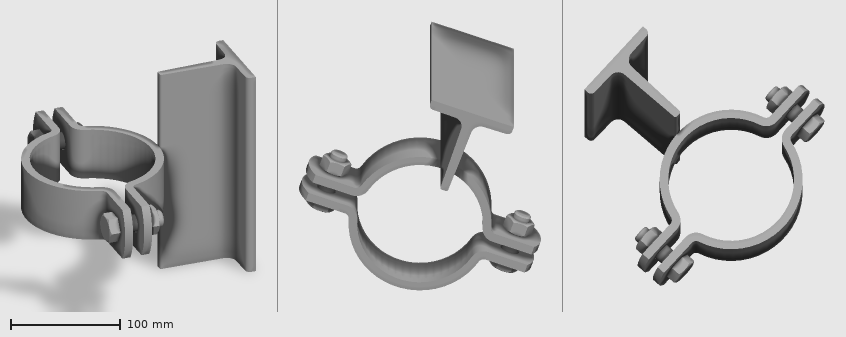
import cadquery as cq
import math


clamp_length = 226.0
band_width = 50.0
band_thickness = 8.0
pipe_radius = 57.6
flange_gap = 10.8
bend_radius = 5.2
flange_end_radius = 50.0
band_radius = pipe_radius + band_thickness
flange_inner_y = flange_gap / 2
flange_outer_y = flange_inner_y + band_thickness

tee_length = 200.0
tee_size = 80.0
tee_thickness = 9.0
tee_slope = 0.02
root_radius = 9.0
toe_radius = 4.5
web_end_radius = 2.0
weld_overlap = 0.2
tee_bottom_y = band_radius - weld_overlap
tee_top_y = tee_bottom_y + tee_size

bolt_x = 89.0
bolt_diameter = 16.0
bolt_tip_diameter = 13.8
bolt_tip_length = 1.4
bolt_overhang = 5.9
bolt_hole_diameter = 18.0
hex_across_flats = 24.0
head_height = 10.5
nut_height = 12.7
washer_face_diameter = 22.0
washer_face_height = 0.5
hex_chamfer_diameter = 23.3
hex_chamfer_angle = 30.0
hex_across_corners = hex_across_flats / math.cos(math.radians(30))


def polar(center, radius, angle):
    """Point on a circle; angle in radians."""
    return (center[0] + radius * math.cos(angle), center[1] + radius * math.sin(angle))


def quarter_band():
    """Quarter of the clamp on the +X, +Y side, with square flange end."""
    pipe_center = (0, 0)
    bend_y = flange_outer_y + bend_radius
    bend_x = math.sqrt((band_radius + bend_radius) ** 2 - bend_y ** 2)
    bend_center = (bend_x, bend_y)
    wide_bend_radius = bend_radius + band_thickness

    tangent_angle = math.atan2(bend_y, bend_x)
    arc_middle = (tangent_angle + math.pi / 2) / 2
    bend_start = tangent_angle + math.pi
    bend_end = 1.5 * math.pi
    bend_middle = (bend_start + bend_end) / 2

    return (
        cq.Workplane("XY", origin=(0, 0, -band_width / 2))
        .moveTo(0, band_radius)
        .threePointArc(
            polar(pipe_center, band_radius, arc_middle),
            polar(pipe_center, band_radius, tangent_angle),
        )
        .threePointArc(
            polar(bend_center, bend_radius, bend_middle),
            polar(bend_center, bend_radius, bend_end),
        )
        .lineTo(clamp_length / 2, flange_outer_y)
        .lineTo(clamp_length / 2, flange_inner_y)
        .lineTo(bend_x, flange_inner_y)
        .threePointArc(
            polar(bend_center, wide_bend_radius, bend_middle),
            polar(bend_center, wide_bend_radius, bend_start),
        )
        .threePointArc(
            polar(pipe_center, pipe_radius, arc_middle),
            (0, pipe_radius),
        )
        .close()
        .extrude(band_width)
    )


def clamp_bands():
    """Both half bands, with rounded flange ends and bolt holes."""
    half = quarter_band()
    half = half.union(half.mirror("YZ"))
    bands = half.union(half.mirror("XZ"))

    half_width = band_width / 2
    end_rise = flange_end_radius - math.sqrt(flange_end_radius ** 2 - half_width ** 2)
    tip_x = clamp_length / 2
    corner_x = tip_x - end_rise
    outline = (
        cq.Workplane("XZ")
        .moveTo(-corner_x, -half_width)
        .lineTo(corner_x, -half_width)
        .threePointArc((tip_x, 0), (corner_x, half_width))
        .lineTo(-corner_x, half_width)
        .threePointArc((-tip_x, 0), (-corner_x, -half_width))
        .close()
        .extrude(band_radius, both=True)
    )
    holes = (
        cq.Workplane("XZ")
        .pushPoints([(-bolt_x, 0), (bolt_x, 0)])
        .circle(bolt_hole_diameter / 2)
        .extrude(flange_outer_y, both=True)
    )
    return bands.intersect(outline).cut(holes)


def tee_section():
    """T section with its web standing on the band."""
    half_size = tee_size / 2
    toe_y = tee_top_y - tee_thickness + tee_slope * half_size / 2
    web_end_x = tee_thickness / 2 - tee_slope * half_size

    web_height = (toe_y - tee_bottom_y - tee_slope * (half_size - web_end_x)) / (1 - tee_slope ** 2)
    root_x = web_end_x + tee_slope * web_height
    root_y = tee_bottom_y + web_height

    right_side = [
        (web_end_x, tee_bottom_y),
        (root_x, root_y),
        (half_size, toe_y),
        (half_size, tee_top_y),
    ]
    left_side = [(-x, y) for x, y in reversed(right_side)]
    tee = (
        cq.Workplane("XY", origin=(0, 0, -tee_length / 2))
        .polyline(right_side + left_side)
        .close()
        .extrude(tee_length)
    )
    corners = [
        (root_x, root_y, root_radius),
        (half_size, toe_y, toe_radius),
        (web_end_x, tee_bottom_y, web_end_radius),
    ]
    for x, y, radius in corners:
        for side in (-1, 1):
            corner = cq.selectors.NearestToPointSelector((side * x, y, 0))
            tee = tee.edges("|Z").edges(corner).fillet(radius)
    return tee


def along_bolt(start_y):
    """Workplane across the bolt axis; its normal points toward -Y."""
    return cq.Workplane("XZ", origin=(0, start_y, 0))


def cylinder(diameter, start_y, end_y):
    """Cylinder on the bolt axis."""
    return along_bolt(start_y).circle(diameter / 2).extrude(start_y - end_y)


def hexagon(start_y, end_y, chamfer_start, chamfer_end):
    """Hexagon on the bolt axis, its corners on X, with conical chamfers on chosen ends."""
    prism = along_bolt(start_y).polygon(6, hex_across_corners).extrude(start_y - end_y)
    cone = cylinder(hex_across_corners, start_y, end_y)
    inset = (hex_across_corners - hex_chamfer_diameter) / 2
    drop = inset * math.tan(math.radians(hex_chamfer_angle))
    if chamfer_start:
        cone = cone.faces("<Y").chamfer(drop, inset)
    if chamfer_end:
        cone = cone.faces(">Y").chamfer(drop, inset)
    return prism.intersect(cone)


def bolt_and_nut():
    """Bolt along Y with its head on the -Y side and a nut on the +Y side."""
    head_seat_y = -flange_outer_y
    head_face_y = head_seat_y - washer_face_height
    head_end_y = head_seat_y - head_height
    nut_seat_y = flange_outer_y
    nut_face_y = nut_seat_y + washer_face_height
    nut_end_y = nut_seat_y + nut_height
    bolt_end_y = nut_end_y + bolt_overhang
    shank_end_y = bolt_end_y - bolt_tip_length

    tip = (
        along_bolt(shank_end_y)
        .circle(bolt_diameter / 2)
        .workplane(offset=-bolt_tip_length)
        .circle(bolt_tip_diameter / 2)
        .loft()
    )
    return (
        hexagon(head_end_y, head_face_y, True, False)
        .union(cylinder(washer_face_diameter, head_face_y, head_seat_y))
        .union(cylinder(bolt_diameter, head_face_y, shank_end_y))
        .union(tip)
        .union(cylinder(washer_face_diameter, nut_seat_y, nut_face_y))
        .union(hexagon(nut_face_y, nut_end_y, True, True))
    )


result = clamp_bands().union(tee_section())
for side in (-1, 1):
    result = result.union(bolt_and_nut().translate((side * bolt_x, 0, 0)))